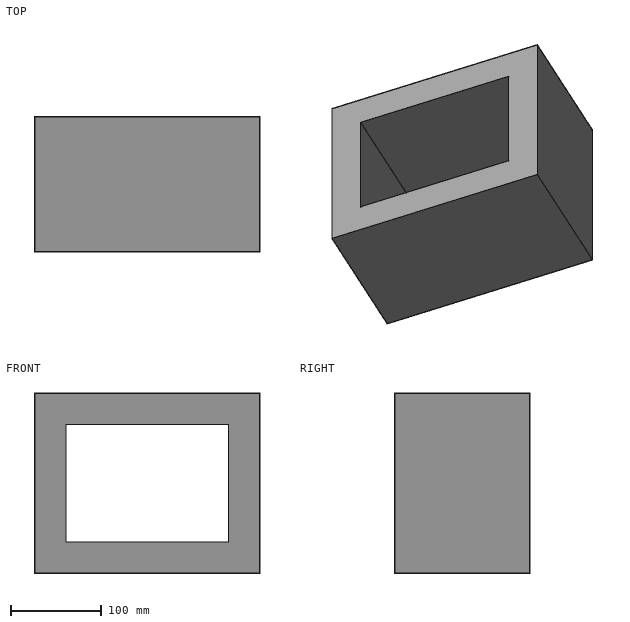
import cadquery as cq

width = 250.0
depth = 150.0
height = 200.0
wall = 35.0

opening_width = width - 2 * wall
opening_height = height - 2 * wall

outer_block = cq.Workplane("XY").box(width, depth, height)
opening = cq.Workplane("XY").box(opening_width, depth, opening_height)

result = outer_block.cut(opening)